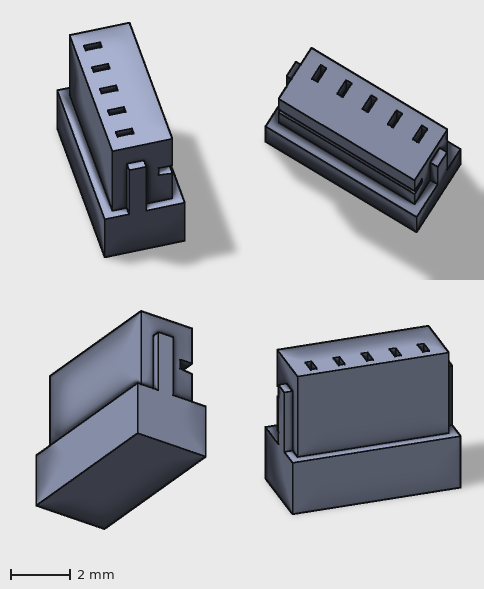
import cadquery as cq

base_length = 6.0
base_depth = 2.8
base_height = 1.95

body_length = 5.4
body_depth = 2.1
total_height = 5.0

arm_depth = 0.6
arm_top = 4.2
arm_center_y = -0.245
arm_thickness = (base_length - body_length) / 2

slot_count = 5
slot_pitch = 1.0
slot_width = 0.22
slot_length = 0.565
slot_center_y = -0.425
slot_depth = 1.2

groove_depth = 0.485
groove_top = 3.635
groove_inner_floor = 3.29
groove_outer_floor = 3.23


def make_block(length, depth, bottom, top):
    """Box centred on X and Y between two heights."""
    block = cq.Workplane("XY").box(length, depth, top - bottom, centered=(True, True, False))
    return block.translate((0, 0, bottom))


def make_arm(side):
    """Guide arm at the -X (side = -1) or +X (side = 1) end."""
    center_x = side * (base_length - arm_thickness) / 2
    arm = make_block(arm_thickness, arm_depth, base_height, arm_top)
    return arm.translate((center_x, arm_center_y, 0))


def make_groove():
    """Groove cutter running the full length of the housing."""
    back_y = body_depth / 2
    inner_y = back_y - groove_depth
    profile = [
        (back_y, groove_top),
        (inner_y, groove_top),
        (inner_y, groove_inner_floor),
        (back_y, groove_outer_floor),
    ]
    return cq.Workplane("YZ").polyline(profile).close().extrude(body_length / 2, both=True)


def make_slots():
    """Row of blind contact slots, centred on X."""
    slot = make_block(slot_width, slot_length, total_height - slot_depth, total_height)
    slots = cq.Workplane("XY")
    for index in range(slot_count):
        center_x = (index - (slot_count - 1) / 2) * slot_pitch
        slots = slots.add(slot.translate((center_x, slot_center_y, 0)))
    return slots.combine()


base = make_block(base_length, base_depth, 0, base_height)
body = make_block(body_length, body_depth, base_height, total_height)
body = body.cut(make_groove()).cut(make_slots())

result = base.union(body)
for end in (-1, 1):
    result = result.union(make_arm(end))